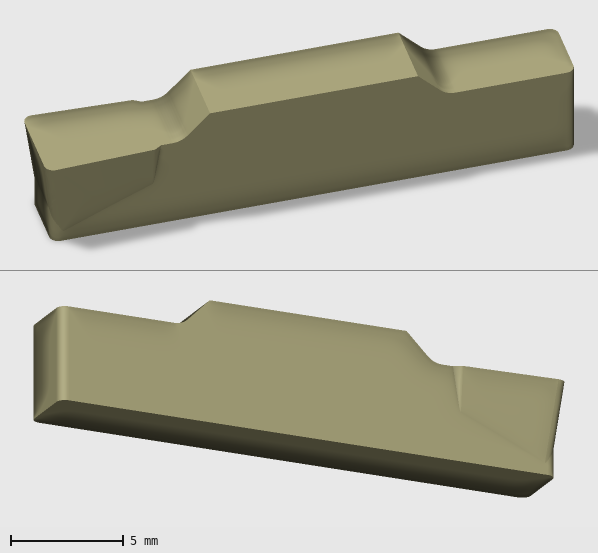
import cadquery as cq
import math

length = 24.65
shank_width = 3.2
shelf_height = 4.45
total_height = 5.8
corner_radius = 0.42
ramp_angle = 45.0
plateau_start = 7.7
plateau_end = 17.33
ramp_foot_radius = 0.99

edge_width = 4.07
head_rear_width = 3.65
head_rear_y = 5.08
shoulder_end_y = 5.42
shoulder_radius = 0.2
front_relief_angle = 7.0
front_relief_bottom = 1.63
side_relief_angle = 6.0

tolerance = 0.02

shank_front_y = (shelf_height - front_relief_bottom) * math.tan(math.radians(front_relief_angle))


def make_shank():
    """Rounded bar with a raised plateau between two ramps."""
    ramp_run = (total_height - shelf_height) / math.tan(math.radians(ramp_angle))
    shank_length = length - shank_front_y
    bar = (
        cq.Workplane("XY")
        .center(0, shank_front_y + shank_length / 2)
        .rect(shank_width, shank_length)
        .extrude(shelf_height)
        .edges("|Z")
        .fillet(corner_radius)
    )
    foot_front = plateau_start - ramp_run
    foot_rear = plateau_end + ramp_run
    plateau = (
        cq.Workplane("YZ")
        .moveTo(foot_front, shelf_height)
        .lineTo(plateau_start, total_height)
        .lineTo(plateau_end, total_height)
        .lineTo(foot_rear, shelf_height)
        .close()
        .extrude(shank_width / 2, both=True)
    )
    ramp_feet = cq.selectors.BoxSelector(
        (-shank_width, foot_front - tolerance, shelf_height - tolerance),
        (shank_width, foot_rear + tolerance, shelf_height + tolerance),
    )
    return bar.union(plateau).edges("|X").edges(ramp_feet).fillet(ramp_foot_radius)


def head_section(depth):
    """Head outline at a depth below the shelf, narrowed by the relief angles."""
    inset = depth * math.tan(math.radians(side_relief_angle))
    front_y = depth * math.tan(math.radians(front_relief_angle))
    front_half = edge_width / 2 - inset
    rear_half = head_rear_width / 2 - inset
    inner_half = shank_width / 2 - inset
    height = shelf_height - depth
    outline = [
        (-front_half, front_y),
        (front_half, front_y),
        (rear_half, head_rear_y),
        (inner_half, shoulder_end_y),
        (-inner_half, shoulder_end_y),
        (-rear_half, head_rear_y),
    ]
    corners = [cq.Vector(x, y, height) for x, y in outline]
    wire = cq.Wire.makePolygon(corners, close=True)
    front_corners = [v for v in wire.Vertices() if v.Y < head_rear_y / 2]
    wire = wire.fillet2D(corner_radius, front_corners)
    shoulder_corners = [v for v in wire.Vertices() if abs(v.Y - head_rear_y) < tolerance]
    return wire.fillet2D(shoulder_radius, shoulder_corners)


def make_head():
    """Cutting head that tapers from the cutting edge into the shank."""
    sections = [head_section(0), head_section(shelf_height)]
    return cq.Workplane(cq.Solid.makeLoft(sections, True))


result = make_shank().union(make_head()).clean()